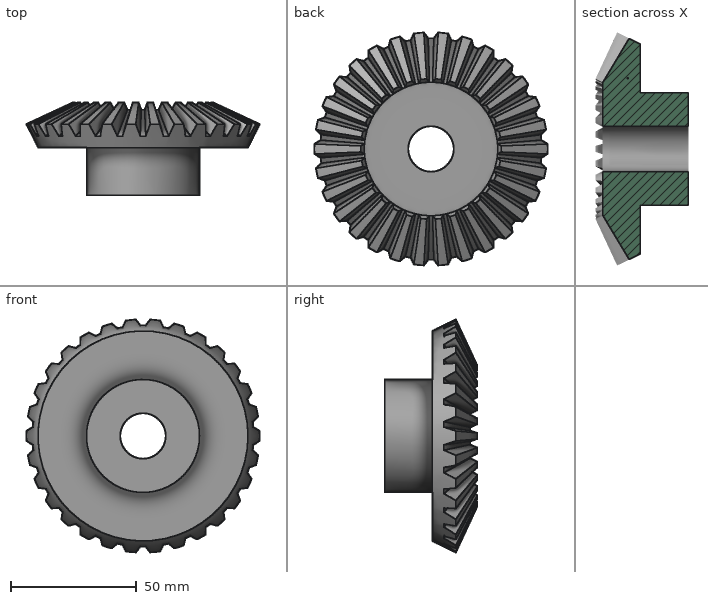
import cadquery as cq
import math

TOOTH_COUNT = 30
PINION_TOOTH_COUNT = 15
MOUNTING_DISTANCE = 50.0
OVERALL_LENGTH = 37.0
HUB_LENGTH = 19.0
HUB_DIAMETER = 45.0
BORE_DIAMETER = 18.0
OUTSIDE_DIAMETER = 93.0
TIP_DEPTH = 21.6
TOOTH_HEIGHT = 4.75
TOOTH_TIP_WIDTH = 3.95
GAP_FLOOR_WIDTH = 2.15

hub_end_y = -MOUNTING_DISTANCE
back_y = hub_end_y + HUB_LENGTH
crown_y = hub_end_y + OVERALL_LENGTH
tip_y = -TIP_DEPTH
tip_radius = OUTSIDE_DIAMETER / 2
back_slope = PINION_TOOTH_COUNT / TOOTH_COUNT
back_radius = tip_radius - back_slope * (tip_y - back_y)
root_y = tip_y - TOOTH_HEIGHT
root_radius = tip_radius - back_slope * TOOTH_HEIGHT

small_end_scale = crown_y / tip_y
crown_radius = tip_radius * small_end_scale
web_y = root_y * small_end_scale
web_radius = root_radius * small_end_scale


def make_blank():
    """Revolved gear blank with hub and bore."""
    bore_radius = BORE_DIAMETER / 2
    hub_radius = HUB_DIAMETER / 2
    profile = [
        (bore_radius, hub_end_y),
        (hub_radius, hub_end_y),
        (hub_radius, back_y),
        (back_radius, back_y),
        (tip_radius, tip_y),
        (crown_radius, crown_y),
        (web_radius, web_y),
        (bore_radius, web_y),
    ]
    return cq.Workplane("XY").polyline(profile).close().revolve(360, (0, 0, 0), (0, 1, 0))


def make_gap_cutter():
    """Tapered cutter for one tooth gap, centred on the +X direction."""
    pitch_angle = 2 * math.pi / TOOTH_COUNT
    tip_angle = math.asin(TOOTH_TIP_WIDTH / 2 / tip_radius)
    gap_edge_angle = pitch_angle / 2 - tip_angle

    floor_level = root_y / root_radius
    floor_half = GAP_FLOOR_WIDTH / 2 / root_radius
    edge_level = tip_y / (tip_radius * math.cos(gap_edge_angle))
    edge_half = math.tan(gap_edge_angle)

    overrun = 1.5
    mouth_level = floor_level + overrun * (edge_level - floor_level)
    mouth_half = floor_half + overrun * (edge_half - floor_half)
    section = [
        (floor_level, -floor_half),
        (floor_level, floor_half),
        (mouth_level, mouth_half),
        (mouth_level, -mouth_half),
    ]

    clearance = 4.0
    start_x = web_radius - clearance
    end_x = tip_radius + clearance
    start_section = [(y * start_x, z * start_x) for y, z in section]
    end_section = [(y * end_x, z * end_x) for y, z in section]
    return (
        cq.Workplane("YZ", origin=(start_x, 0, 0))
        .polyline(start_section)
        .close()
        .workplane(offset=end_x - start_x)
        .polyline(end_section)
        .close()
        .loft(ruled=True)
    )


def cut_teeth(blank):
    """Cut the gaps so that one tooth is centred on the X axis."""
    step = 360 / TOOTH_COUNT
    cutter = make_gap_cutter()
    gear = blank
    for index in range(TOOTH_COUNT):
        angle = (index + 0.5) * step
        gear = gear.cut(cutter.rotate((0, 0, 0), (0, 1, 0), angle))
    return gear


result = cut_teeth(make_blank())